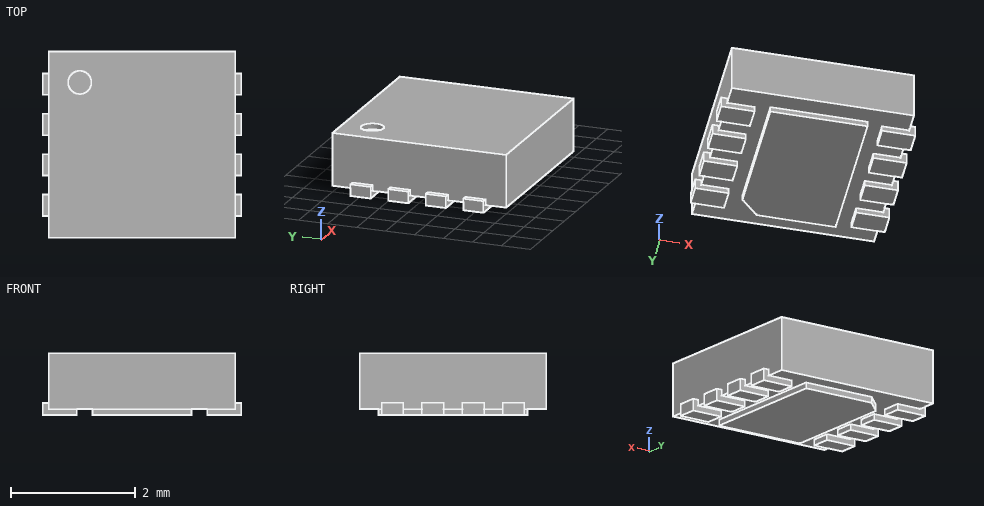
import cadquery as cq

overall_length = 3.2
body_side = 3.0
overall_height = 1.0
standoff = 0.1
lead_protrusion = (overall_length - body_side) / 2

dimple_diameter = 0.375
dimple_depth = 0.1
dimple_inset = 0.5

leads_per_side = 4
lead_pitch = 0.65
lead_width = 0.35
lead_length = 0.55
lead_height = 2 * standoff

pad_length = 1.6
pad_width = 2.4
pad_chamfer = 0.3


def make_housing():
    """Square block standing on the leads and pad, with a dimple near its -X +Y corner."""
    block = (
        cq.Workplane("XY")
        .workplane(offset=standoff)
        .rect(body_side, body_side)
        .extrude(overall_height - standoff)
    )
    dimple_offset = body_side / 2 - dimple_inset
    dimple = (
        cq.Workplane("XY")
        .workplane(offset=overall_height - dimple_depth)
        .center(-dimple_offset, dimple_offset)
        .circle(dimple_diameter / 2)
        .extrude(dimple_depth)
    )
    return block.cut(dimple)


def make_lead(side, y_center):
    """L-shaped lead: a foot under the body and a lip up its wall; side is -1 for -X, +1 for +X."""
    outer_x = side * overall_length / 2
    wall_x = side * body_side / 2
    inner_x = outer_x - side * lead_length
    profile = [
        (outer_x, 0),
        (outer_x, lead_height),
        (wall_x, lead_height),
        (wall_x, standoff),
        (inner_x, standoff),
        (inner_x, 0),
    ]
    return (
        cq.Workplane("XZ", origin=(0, y_center, 0))
        .polyline(profile)
        .close()
        .extrude(lead_width / 2, both=True)
    )


def make_thermal_pad():
    """Flat pad under the body, with its pin-one corner (-X +Y) chamfered."""
    return (
        cq.Workplane("XY")
        .rect(pad_length, pad_width)
        .extrude(standoff)
        .edges("|Z").edges("<X").edges(">Y")
        .chamfer(pad_chamfer)
    )


housing = make_housing()
thermal_pad = make_thermal_pad()

leads = []
for side in (-1, 1):
    for index in range(leads_per_side):
        y_center = (index - (leads_per_side - 1) / 2) * lead_pitch
        leads.append(make_lead(side, y_center))

result = cq.Compound.makeCompound(
    [housing.val(), thermal_pad.val(), *[lead.val() for lead in leads]]
)